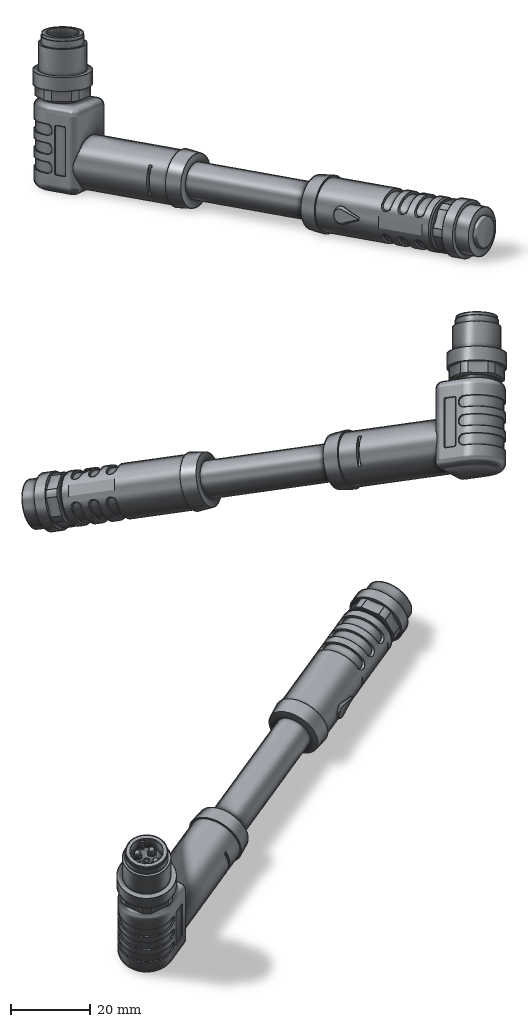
import cadquery as cq
import math

OVERLAP = 0.7

CABLE_DIA = 9.7
SLEEVE_DIA = 14.1
COLLAR_DIA = 15.0
COLLAR_LENGTH = 4.3
COLLAR_CROWN = 0.6
ANGLED_SLEEVE_END = 40.0
STRAIGHT_SLEEVE_START = 76.0
STRAIGHT_SLEEVE_END = 114.6
SLEEVE_END_CHAMFER = 0.4

NOTCH_X = 30.1
NOTCH_WIDTH = 0.8
NOTCH_DEPTH = 1.2

HOUSING_RADIUS = 7.3
HOUSING_FRONT_X = 8.6
HOUSING_BOTTOM = -7.5
HOUSING_TOP = 15.3
HOUSING_EDGE_FILLET = 2.0
HOUSING_CORNER_FILLET = 1.9
HOUSING_MID_Z = (HOUSING_TOP + HOUSING_BOTTOM) / 2

GRIP_WIDTH = 3.0
GRIP_PITCH = 5.0
GRIP_COUNT = 3
HOUSING_GRIP_DEPTH = 0.4
SLEEVE_GRIP_DEPTH = 0.7
SLEEVE_GRIP_MID_X = 105.7
SLEEVE_GRIP_CLEARANCE = 3.0
GRIP_OFFSETS = [(i - (GRIP_COUNT - 1) / 2) * GRIP_PITCH for i in range(GRIP_COUNT)]

LABEL_LENGTH = 13.0
HOUSING_LABEL_X = 3.9
HOUSING_LABEL_WIDTH = 3.2
HOUSING_LABEL_DEPTH = 0.4
HOUSING_LABEL_CORNER = 0.4
SLEEVE_LABEL_WIDTH = 3.0

DROP_X = 88.0
DROP_RADIUS = 2.4
DROP_TIP_X = 93.0
DROP_TIP_RADIUS = 0.8
DROP_HEIGHT = 0.4
DROP_BURIED = 0.4
DROP_TAPER = 35

NUT_DIA = 15.0
HEX_CORNER_DIA = 14.0
HEX_FLATS = 13.0
HEX_TURN = 30

PLUG_NECK_DIA = 9.3
PLUG_HEX_BOTTOM = 16.4
PLUG_NUT_BOTTOM = 19.4
PLUG_NUT_TOP = 23.0
PLUG_BARREL_DIA = 12.2
PLUG_BARREL_TOP = 30.0
PLUG_TIP_DIA = 10.9
PLUG_LIP_DIA = 10.5
PLUG_LIP_HEIGHT = 0.8
PLUG_TOP = 32.7
PLUG_BORE_DIA = 8.3
PLUG_BORE_DEPTH = 3.6
PIN_DIA = 1.5
PIN_TIP_FILLET = 0.5
PIN_COUNT = 4
PIN_CIRCLE_RADIUS = 2.7
PIN_RECESS = 1.7
PIN_WELL_DIA = 2.3
PIN_WELL_DEPTH = 0.4
CENTRE_HOLE_DIA = 1.5
KEY_DIA = 1.1
KEY_RECESS = 0.8
KEY_ANGLE = 45

SOCKET_NECK_DIA = 9.7
SOCKET_HEX_START = 115.5
SOCKET_NUT_START = 118.6
SOCKET_NUT_END = 121.7
SOCKET_BARREL_DIA = 12.8
SOCKET_BARREL_END = 125.8
SOCKET_TIP_DIA = 8.3
SOCKET_TIP_FILLET = 0.5
SOCKET_END = 127.0


def cylinder_x(diameter, start, end):
    return cq.Workplane("YZ", origin=(start, 0, 0)).circle(diameter / 2).extrude(end - start)


def cylinder_z(diameter, bottom, top):
    return cq.Workplane("XY", origin=(0, 0, bottom)).circle(diameter / 2).extrude(top - bottom)


def hex_z(bottom, top):
    """Hexagon on Z with flats facing +X and -X and turned-down corners."""
    flats_to_corners = 1 / math.cos(math.radians(HEX_TURN))
    hexagon = (
        cq.Workplane("XY", origin=(0, 0, bottom))
        .transformed(rotate=(0, 0, HEX_TURN))
        .polygon(6, HEX_FLATS * flats_to_corners)
        .extrude(top - bottom)
    )
    return hexagon.intersect(cylinder_z(HEX_CORNER_DIA, bottom, top))


def hex_x(start, end):
    """The same hexagon on X with flats facing +Z and -Z."""
    return hex_z(start, end).rotate((0, 0, 0), (0, 1, 0), 90)


def collar(large_end, small_end):
    """Crowned ring around X that shrinks to the sleeve diameter at its small end."""
    large = COLLAR_DIA / 2
    small = SLEEVE_DIA / 2
    middle = ((large_end + small_end) / 2, small + COLLAR_CROWN * (large - small))
    return (
        cq.Workplane("XZ")
        .moveTo(large_end, large)
        .threePointArc(middle, (small_end, small))
        .lineTo(small_end, 0)
        .lineTo(large_end, 0)
        .close()
        .revolve(360, (0, 0, 0), (1, 0, 0))
    )


def housing_block(inset=0.0):
    """Upright block, round on the -X side and flat on the other three; inset shrinks it sideways."""
    radius = HOUSING_RADIUS - inset
    return (
        cq.Workplane("XY", origin=(0, 0, HOUSING_BOTTOM))
        .moveTo(HOUSING_FRONT_X, -radius)
        .lineTo(0, -radius)
        .threePointArc((-radius, 0), (0, radius))
        .lineTo(HOUSING_FRONT_X, radius)
        .close()
        .extrude(HOUSING_TOP - HOUSING_BOTTOM)
    )


def slot_through_y(x, z, length, angle):
    """Round-ended slot cutter along Y, centred at x, z and wider than the part."""
    return (
        cq.Workplane("XZ")
        .center(x, z)
        .slot2D(length, GRIP_WIDTH, angle)
        .extrude(COLLAR_DIA, both=True)
    )


def angled_housing():
    body = housing_block().edges("|Z and >X").fillet(HOUSING_CORNER_FILLET)
    body = body.faces("<Z or >Z").edges().fillet(HOUSING_EDGE_FILLET)

    slot_length = 2 * COLLAR_DIA
    slot_mid_x = GRIP_WIDTH / 2 - slot_length / 2
    grip_floor = housing_block(HOUSING_GRIP_DEPTH)
    for offset in GRIP_OFFSETS:
        slot = slot_through_y(slot_mid_x, HOUSING_MID_Z + offset, slot_length, 0)
        body = body.cut(slot.cut(grip_floor))

    for side in (-1, 1):
        label = (
            cq.Workplane("XY")
            .box(HOUSING_LABEL_WIDTH, 2 * HOUSING_LABEL_DEPTH, LABEL_LENGTH)
            .edges("|Y")
            .fillet(HOUSING_LABEL_CORNER)
            .translate((HOUSING_LABEL_X, side * HOUSING_RADIUS, HOUSING_MID_Z))
        )
        body = body.cut(label)
    return body


def angled_sleeve():
    sleeve_start = HOUSING_FRONT_X - HOUSING_CORNER_FILLET
    sleeve = cylinder_x(SLEEVE_DIA, sleeve_start, ANGLED_SLEEVE_END)
    sleeve = sleeve.union(collar(ANGLED_SLEEVE_END - COLLAR_LENGTH, ANGLED_SLEEVE_END))
    for side in (-1, 1):
        notch = cq.Workplane("XY").box(NOTCH_WIDTH, 2 * NOTCH_DEPTH, SLEEVE_DIA)
        sleeve = sleeve.cut(notch.translate((NOTCH_X, side * SLEEVE_DIA / 2, 0)))
    return sleeve


def drop_marker():
    """Raised drop on the -Y side: two circles joined by their outer tangents, with sloped walls."""
    spacing = DROP_TIP_X - DROP_X
    tilt = math.acos((DROP_RADIUS - DROP_TIP_RADIUS) / spacing)
    along = math.cos(tilt)
    across = math.sin(tilt)
    height = DROP_BURIED + DROP_HEIGHT
    return (
        cq.Workplane("XZ", origin=(DROP_X, -(SLEEVE_DIA / 2 - DROP_BURIED), 0))
        .moveTo(DROP_RADIUS * along, DROP_RADIUS * across)
        .threePointArc((-DROP_RADIUS, 0), (DROP_RADIUS * along, -DROP_RADIUS * across))
        .lineTo(spacing + DROP_TIP_RADIUS * along, -DROP_TIP_RADIUS * across)
        .threePointArc(
            (spacing + DROP_TIP_RADIUS, 0),
            (spacing + DROP_TIP_RADIUS * along, DROP_TIP_RADIUS * across),
        )
        .close()
        .extrude(height, taper=DROP_TAPER)
    )


def straight_sleeve():
    sleeve = cylinder_x(SLEEVE_DIA, STRAIGHT_SLEEVE_START, STRAIGHT_SLEEVE_END)
    sleeve = sleeve.faces(">X").chamfer(SLEEVE_END_CHAMFER)
    sleeve = sleeve.union(collar(STRAIGHT_SLEEVE_START + COLLAR_LENGTH, STRAIGHT_SLEEVE_START))

    slot_length = 2 * COLLAR_DIA
    slot_mid_z = SLEEVE_GRIP_CLEARANCE + slot_length / 2
    grip_floor_dia = SLEEVE_DIA - 2 * SLEEVE_GRIP_DEPTH
    grip_floor = cylinder_x(grip_floor_dia, STRAIGHT_SLEEVE_START, STRAIGHT_SLEEVE_END)
    for offset in GRIP_OFFSETS:
        for side in (-1, 1):
            slot = slot_through_y(SLEEVE_GRIP_MID_X + offset, side * slot_mid_z, slot_length, 90)
            sleeve = sleeve.cut(slot.cut(grip_floor))

    flat_distance = math.sqrt((SLEEVE_DIA / 2) ** 2 - (SLEEVE_LABEL_WIDTH / 2) ** 2)
    for side in (-1, 1):
        label = cq.Workplane("XY").box(LABEL_LENGTH, SLEEVE_DIA, SLEEVE_DIA)
        label_y = side * (flat_distance + SLEEVE_DIA / 2)
        sleeve = sleeve.cut(label.translate((SLEEVE_GRIP_MID_X, label_y, 0)))
    return sleeve.union(drop_marker())


def plug():
    body = cylinder_z(PLUG_NECK_DIA, HOUSING_TOP - OVERLAP, PLUG_HEX_BOTTOM + OVERLAP)
    body = body.union(hex_z(PLUG_HEX_BOTTOM, PLUG_NUT_BOTTOM + OVERLAP))
    body = body.union(cylinder_z(NUT_DIA, PLUG_NUT_BOTTOM, PLUG_NUT_TOP))
    body = body.union(cylinder_z(PLUG_BARREL_DIA, PLUG_NUT_TOP - OVERLAP, PLUG_BARREL_TOP))
    body = body.union(cylinder_z(PLUG_TIP_DIA, PLUG_BARREL_TOP - OVERLAP, PLUG_TOP - PLUG_LIP_HEIGHT))
    body = body.union(cylinder_z(PLUG_LIP_DIA, PLUG_BARREL_TOP, PLUG_TOP))

    floor_z = PLUG_TOP - PLUG_BORE_DEPTH
    body = body.cut(cylinder_z(PLUG_BORE_DIA, floor_z, PLUG_TOP))

    well_floor_z = floor_z - PIN_WELL_DEPTH
    body = body.cut(cylinder_z(CENTRE_HOLE_DIA, well_floor_z, floor_z))
    well = cylinder_z(PIN_WELL_DIA, well_floor_z, floor_z)
    pin = cylinder_z(PIN_DIA, well_floor_z - OVERLAP, PLUG_TOP - PIN_RECESS)
    pin = pin.faces(">Z").fillet(PIN_TIP_FILLET)
    for i in range(PIN_COUNT):
        angle = i * 2 * math.pi / PIN_COUNT
        place = (PIN_CIRCLE_RADIUS * math.cos(angle), PIN_CIRCLE_RADIUS * math.sin(angle), 0)
        body = body.cut(well.translate(place)).union(pin.translate(place))

    key = cylinder_z(KEY_DIA, floor_z - OVERLAP, PLUG_TOP - KEY_RECESS)
    key = key.translate((PLUG_BORE_DIA / 2, 0, 0)).rotate((0, 0, 0), (0, 0, 1), KEY_ANGLE)
    return body.union(key)


def socket():
    body = cylinder_x(SOCKET_NECK_DIA, STRAIGHT_SLEEVE_END - OVERLAP, SOCKET_HEX_START + OVERLAP)
    body = body.union(hex_x(SOCKET_HEX_START, SOCKET_NUT_START + OVERLAP))
    body = body.union(cylinder_x(NUT_DIA, SOCKET_NUT_START, SOCKET_NUT_END))
    body = body.union(cylinder_x(SOCKET_BARREL_DIA, SOCKET_NUT_END - OVERLAP, SOCKET_BARREL_END))
    tip = cylinder_x(SOCKET_TIP_DIA, SOCKET_BARREL_END - OVERLAP, SOCKET_END)
    return body.union(tip.faces(">X").fillet(SOCKET_TIP_FILLET))


cable = cylinder_x(CABLE_DIA, ANGLED_SLEEVE_END - OVERLAP, STRAIGHT_SLEEVE_START + OVERLAP)

result = (
    angled_housing()
    .union(angled_sleeve())
    .union(plug())
    .union(cable)
    .union(straight_sleeve())
    .union(socket())
)